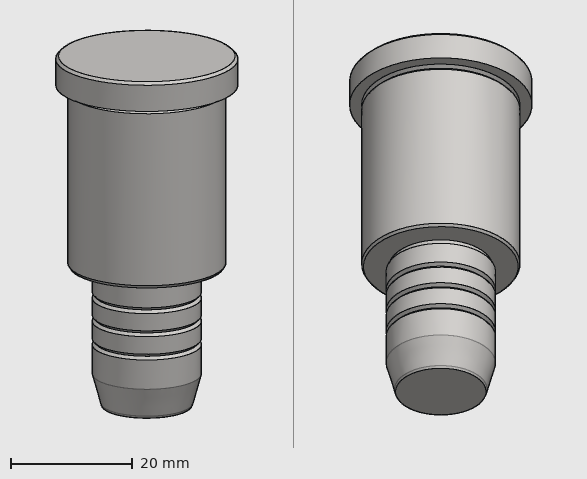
import cadquery as cq

TOTAL_HEIGHT = 60.0
HEAD_RADIUS = 15.0
BODY_RADIUS = 13.0
SHANK_RADIUS = 9.0
NECK_RADIUS = 8.5
TIP_RADIUS = 7.6

TAPER_HEIGHT = 5.45
BODY_BOTTOM = 24.0
NECK_HEIGHT = 0.95
HEAD_THICKNESS = 5.0

HEAD_CHAMFER = 0.5
BODY_CHAMFER_HEIGHT = 0.5
BODY_CHAMFER_DEPTH = 0.3
TIP_CHAMFER_HEIGHT = 0.4
TIP_CHAMFER_DEPTH = 0.2

GROOVE_DEPTH = 0.5
LOWER_GROOVE_CENTER = 11.0
MIDDLE_GROOVE_CENTER = 15.0
UPPER_GROOVE_CENTER = 18.95


def revolve_profile(points):
    """Revolve a closed (radius, height) outline around the Z axis."""
    return cq.Workplane("XZ").polyline(points).close().revolve(360, (0, 0), (0, 1))


def stepped_pin():
    """Head, body, neck and tapered shank as one turned outline."""
    head_bottom = TOTAL_HEIGHT - HEAD_THICKNESS
    shank_top = BODY_BOTTOM - NECK_HEIGHT
    body_end_radius = BODY_RADIUS - BODY_CHAMFER_DEPTH
    return revolve_profile([
        (0, 0),
        (TIP_RADIUS - TIP_CHAMFER_DEPTH, 0),
        (TIP_RADIUS, TIP_CHAMFER_HEIGHT),
        (SHANK_RADIUS, TAPER_HEIGHT),
        (SHANK_RADIUS, shank_top),
        (NECK_RADIUS, shank_top),
        (NECK_RADIUS, BODY_BOTTOM),
        (body_end_radius, BODY_BOTTOM),
        (BODY_RADIUS, BODY_BOTTOM + BODY_CHAMFER_HEIGHT),
        (BODY_RADIUS, head_bottom),
        (HEAD_RADIUS, head_bottom),
        (HEAD_RADIUS, TOTAL_HEIGHT - HEAD_CHAMFER),
        (HEAD_RADIUS - HEAD_CHAMFER, TOTAL_HEIGHT),
        (0, TOTAL_HEIGHT),
    ])


def v_groove(surface_radius, center):
    """Ring cutter for a 45 degree V-groove, flush with the surface it cuts."""
    return revolve_profile([
        (surface_radius - GROOVE_DEPTH, center),
        (surface_radius, center + GROOVE_DEPTH),
        (surface_radius, center - GROOVE_DEPTH),
    ])


result = stepped_pin()

grooves = [
    (SHANK_RADIUS, LOWER_GROOVE_CENTER),
    (SHANK_RADIUS, MIDDLE_GROOVE_CENTER),
    (SHANK_RADIUS, UPPER_GROOVE_CENTER),
    (BODY_RADIUS, TOTAL_HEIGHT - HEAD_THICKNESS - GROOVE_DEPTH),
]
for surface_radius, center in grooves:
    result = result.cut(v_groove(surface_radius, center))